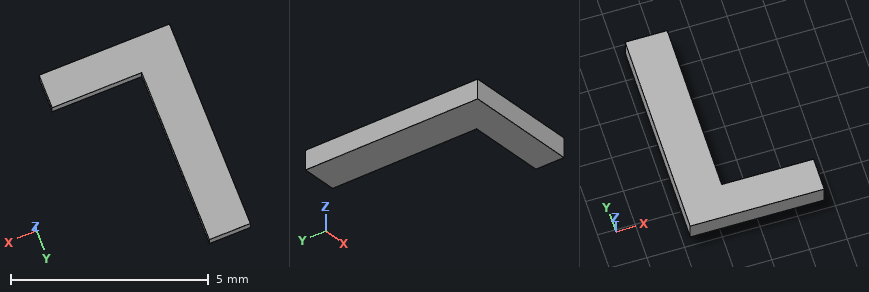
import cadquery as cq

length_x = 3.56
length_y = 5.53
thickness = 0.6

long_leg_width = 1.12
short_leg_width = 0.905

outline = [
    (0, 0),
    (length_x, 0),
    (length_x, short_leg_width),
    (long_leg_width, short_leg_width),
    (long_leg_width, length_y),
    (0, length_y),
]

result = cq.Workplane("XY").polyline(outline).close().extrude(thickness)